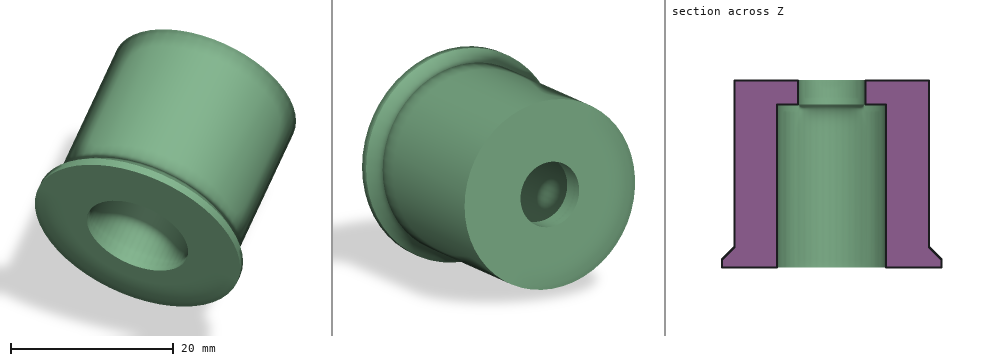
import cadquery as cq

flange_diameter = 27.0
body_diameter = 24.0
length = 23.0

rim_thickness = 1.0
cone_length = (flange_diameter - body_diameter) / 2

bore_diameter = 13.3
hole_diameter = 8.25
end_wall = 3.0
bore_depth = length - end_wall


def revolved_body():
    """Flanged cylinder as a half profile turned about the Y axis."""
    cone_end = rim_thickness + cone_length
    profile = (
        cq.Workplane("XY")
        .moveTo(0, 0)
        .lineTo(flange_diameter / 2, 0)
        .lineTo(flange_diameter / 2, rim_thickness)
        .lineTo(body_diameter / 2, cone_end)
        .lineTo(body_diameter / 2, length)
        .lineTo(0, length)
        .close()
    )
    return profile.revolve(360, (0, 0, 0), (0, 1, 0))


def bore(diameter, depth):
    """Round cutter reaching from the flange face into the part along +Y."""
    return cq.Workplane("XZ").circle(diameter / 2).extrude(-depth)


result = (
    revolved_body()
    .cut(bore(bore_diameter, bore_depth))
    .cut(bore(hole_diameter, length))
)